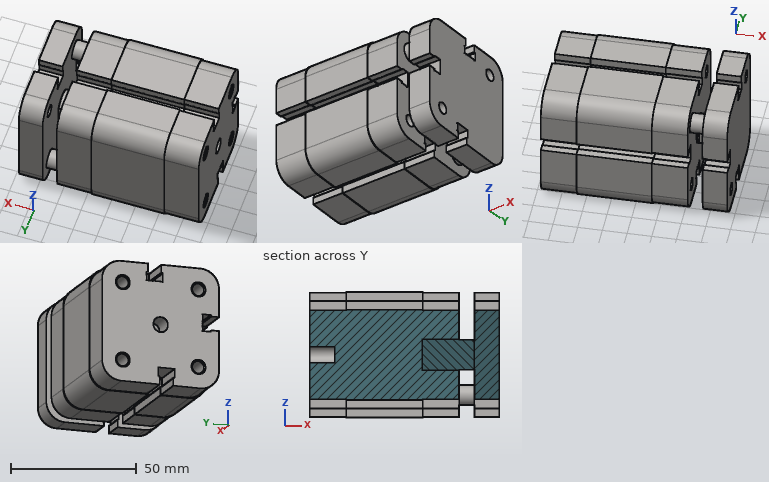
import cadquery as cq


cap_length = 14.5
housing_length = 59.5
front_gap = 6.0
plate_thickness = 10.0
barrel_length = housing_length - 2 * cap_length
plate_rear = housing_length + front_gap

barrel_width = 50.0
corner_radius = 8.0
end_inset = 0.25
plate_corner_radius = corner_radius - end_inset

slot_offset = 2.5
mouth_width = 5.2
channel_width = 6.4
slot_depth = 7.0
mouth_depth = 3.5
slot_shoulder = 0.3
slot_angles = (0, 90, 180)

screw_spacing = 32.0
screw_diameter = 5.0
screw_chamfer = 0.5
center_hole_diameter = 6.2
center_hole_depth = 10.0

piston_rod_diameter = 12.0
piston_rod_chamfer = 0.15
flat_width = 10.0
flat_setback = 0.9
flat_runout = 0.5
guide_rod_diameter = 8.0
rod_engagement = cap_length
rod_rear = housing_length - rod_engagement
rod_length = rod_engagement + front_gap

half_spacing = screw_spacing / 2
through_corners = [(half_spacing, half_spacing), (-half_spacing, -half_spacing)]
guide_corners = [(-half_spacing, half_spacing), (half_spacing, -half_spacing)]


def section_plane(x):
    """Workplane across the stroke axis at the given X; its local axes are Y and Z."""
    return cq.Workplane("YZ", origin=(x, 0, 0))


def cylinder(x, length, diameter, centers):
    """Cylinders along X, starting at the given X."""
    return section_plane(x).pushPoints(centers).circle(diameter / 2).extrude(length)


def slot_cutter(x, length, inset):
    """One slot in the +Z face; an inset section has its slot walls set back by the same amount."""
    center = slot_offset
    mouth = mouth_width / 2 + inset
    channel = channel_width / 2 + inset
    face = barrel_width / 2
    shoulder = face - mouth_depth
    floor = face - slot_depth - inset
    return (
        section_plane(x)
        .moveTo(center - mouth, face)
        .lineTo(center - mouth, shoulder)
        .lineTo(center - channel, shoulder - slot_shoulder)
        .lineTo(center - channel, floor)
        .lineTo(center + channel, floor)
        .lineTo(center + channel, shoulder - slot_shoulder)
        .lineTo(center + mouth, shoulder)
        .lineTo(center + mouth, face)
        .close()
        .extrude(length)
    )


def slotted_block(x, length, inset, radius):
    """Rounded square block with a slot in three of its faces."""
    width = barrel_width - 2 * inset
    block = section_plane(x).rect(width, width).extrude(length)
    block = block.edges("|X").fillet(radius)
    cutter = slot_cutter(x, length, inset)
    for angle in slot_angles:
        block = block.cut(cutter.rotate((0, 0, 0), (1, 0, 0), angle))
    return block


def make_housing():
    """Rear cap, barrel and front cap, bored for the screws and the rods."""
    rear_cap = slotted_block(0, cap_length, end_inset, corner_radius)
    barrel = slotted_block(cap_length, barrel_length, 0, corner_radius)
    front_cap = slotted_block(housing_length - cap_length, cap_length, end_inset, corner_radius)
    housing = rear_cap.union(barrel).union(front_cap)

    screw_corners = through_corners + guide_corners
    housing = housing.cut(cylinder(0, housing_length, screw_diameter, screw_corners))
    countersink = (
        section_plane(0)
        .pushPoints(screw_corners)
        .circle(screw_diameter / 2 + screw_chamfer)
        .extrude(screw_chamfer, taper=45)
    )
    housing = housing.cut(countersink)

    housing = housing.cut(cylinder(0, center_hole_depth, center_hole_diameter, [(0, 0)]))

    housing = housing.cut(cylinder(rod_rear, rod_engagement, piston_rod_diameter, [(0, 0)]))
    return housing.cut(cylinder(rod_rear, rod_engagement, guide_rod_diameter, guide_corners))


def make_piston_rod():
    """Rod with a chamfered front end and two wrench flats facing -Y and +Y."""
    rod = cylinder(rod_rear, rod_length, piston_rod_diameter, [(0, 0)])
    rod = rod.faces(">X").chamfer(piston_rod_chamfer)
    flat_start = housing_length + flat_setback
    flat_level = flat_width / 2
    surface_level = piston_rod_diameter / 2
    flat_cutter = (
        cq.Workplane("XY")
        .moveTo(flat_start - flat_runout, surface_level)
        .lineTo(flat_start, flat_level)
        .lineTo(plate_rear, flat_level)
        .lineTo(plate_rear, surface_level)
        .close()
        .extrude(surface_level, both=True)
    )
    return rod.cut(flat_cutter).cut(flat_cutter.mirror("XZ"))


def make_guide_rod(center):
    """Plain rod from its bore in the front cap to the front plate."""
    return cylinder(rod_rear, rod_length, guide_rod_diameter, [center])


def make_front_plate():
    """Plate with the housing's slots and two screw holes in line with the through holes."""
    plate = slotted_block(plate_rear, plate_thickness, end_inset, plate_corner_radius)
    return plate.cut(cylinder(plate_rear, plate_thickness, screw_diameter, through_corners))


housing = make_housing()
piston_rod = make_piston_rod()
guide_rods = [make_guide_rod(center) for center in guide_corners]
front_plate = make_front_plate()

result = cq.Compound.makeCompound(
    [
        housing.val(),
        piston_rod.val(),
        *[rod.val() for rod in guide_rods],
        front_plate.val(),
    ]
)